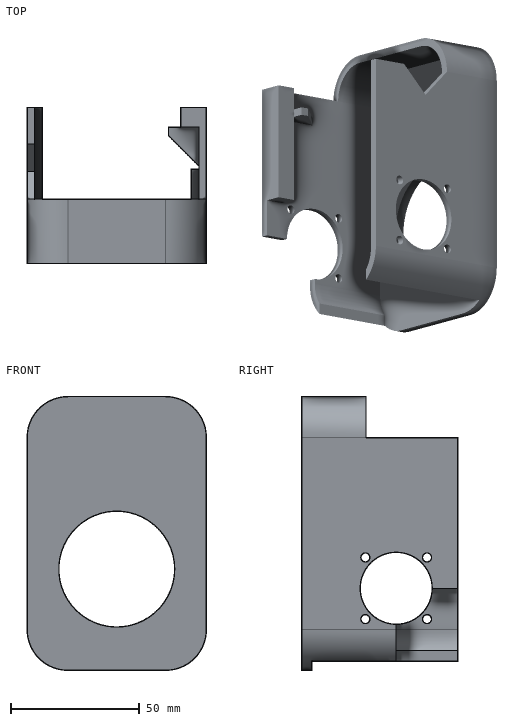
import cadquery as cq

width = 70.1
depth = 61.0
height = 107.0
corner_radius = 16.0
wall = 3.0
front_thickness = 4.0
hood_depth = 25.1
side_wall_top = height - corner_radius

lens_radius = 22.6
lens_height = 39.6
bottom_lip = 6.0
fan_radius = 14.0
fan_y = 36.9
fan_z = 32.1
screw_spacing = 24.1
screw_diameter = 3.4
notch_depth = 10.8

block_reach = 10.1
block_length = 7.7
block_bottom = fan_z + fan_radius
fin_reach = 11.9
fin_tip = 3.3
fin_top = 82.4
fin_thickness = wall


def box(x0, x1, y0, y1, z0, z1):
    """Box given by its limits along each axis."""
    return cq.Workplane("XY").box(x1 - x0, y1 - y0, z1 - z0, centered=False).translate((x0, y0, z0))


def rounded_prism(inset, y0, y1):
    """Housing outline moved inward by inset, extruded along Y."""
    prism = box(inset, width - inset, y0, y1, inset, height - inset)
    return prism.edges("|Y").fillet(corner_radius - inset)


def make_shell():
    shell = rounded_prism(0, 0, depth).cut(rounded_prism(wall, front_thickness, depth))
    above_side_walls = box(0, width, hood_depth, depth, side_wall_top, height)
    floor_opening = box(bottom_lip, width - bottom_lip, front_thickness, depth, 0, corner_radius)
    return shell.cut(above_side_walls).cut(floor_opening)


def lens_hole():
    return (
        cq.Workplane("XZ")
        .center(width / 2, lens_height)
        .circle(lens_radius)
        .extrude(-front_thickness)
    )


def fan_holes():
    """Fan opening and its four screw holes, through both side walls."""
    fan = cq.Workplane("YZ").center(fan_y, fan_z)
    screws = fan.rect(screw_spacing, screw_spacing, forConstruction=True).vertices()
    return fan.circle(fan_radius).extrude(width).union(screws.circle(screw_diameter / 2).extrude(width))


def left_notch():
    return (
        cq.Workplane("YZ")
        .moveTo(hood_depth, side_wall_top)
        .lineTo(hood_depth + notch_depth, side_wall_top - notch_depth)
        .lineTo(hood_depth + 2 * notch_depth, side_wall_top)
        .close()
        .extrude(wall)
    )


def right_rear_cutout():
    """Clears the right wall below and behind the fan centre."""
    return box(width / 2, width, fan_y, depth, 0, fan_z)


def latch():
    """Rear block with a tapered fin in front of it."""
    block_front = depth - block_length
    inner_face = width - wall
    block = box(width - block_reach, width, block_front, depth, block_bottom, side_wall_top)
    fin = (
        cq.Workplane("XY", origin=(0, 0, fin_top - fin_thickness))
        .moveTo(inner_face, block_front)
        .lineTo(inner_face - fin_reach, block_front)
        .lineTo(inner_face - fin_reach, block_front - fin_tip)
        .lineTo(inner_face, block_front - fin_tip - fin_reach)
        .close()
        .extrude(fin_thickness)
    )
    return block.union(fin)


result = (
    make_shell()
    .cut(lens_hole())
    .cut(fan_holes())
    .cut(left_notch())
    .cut(right_rear_cutout())
    .union(latch())
)